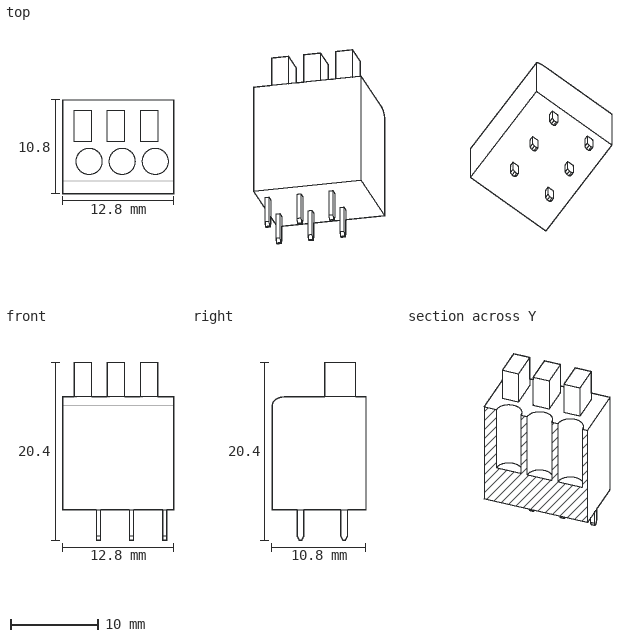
import cadquery as cq

width = 12.78
depth = 10.8
total_height = 20.45
pin_length = 3.5
lever_height = 3.95
housing_top = total_height - lever_height

round_depth = 1.47
round_drop = 1.0

pole_count = 3
pole_pitch = 3.8

lever_width = 2.0
lever_depth = 3.55
lever_center_x = 2.33
lever_back_gap = 1.2

hole_diameter = 3.0
hole_center_x = 3.05
hole_center_y = 3.72
hole_depth = 8.18

pin_thickness = 0.5
pin_width = 0.8
pin_tip_width = 0.3
pin_taper = 0.5
pin_center_x = 4.13
rear_pin_y = depth - 2.54
pin_row_spacing = 5.01
pin_rows_y = [rear_pin_y - pin_row_spacing, rear_pin_y]


def pole_positions(first_x):
    return [first_x + pole * pole_pitch for pole in range(pole_count)]


def make_housing():
    """Side profile with a quarter-ellipse front edge, extruded along X."""
    block = (
        cq.Workplane("YZ")
        .moveTo(0, pin_length)
        .lineTo(depth, pin_length)
        .lineTo(depth, housing_top)
        .lineTo(round_depth, housing_top)
        .lineTo(round_depth, housing_top - round_drop)
        .lineTo(0, housing_top - round_drop)
        .close()
        .extrude(width)
    )
    rounded_edge = (
        cq.Workplane("YZ")
        .center(round_depth, housing_top - round_drop)
        .ellipse(round_depth, round_drop)
        .extrude(width)
    )
    return block.union(rounded_edge)


def make_lever(center_x):
    center_y = depth - lever_back_gap - lever_depth / 2
    return (
        cq.Workplane("XY", origin=(center_x, center_y, housing_top))
        .rect(lever_width, lever_depth)
        .extrude(lever_height)
    )


def make_wire_hole(center_x):
    return (
        cq.Workplane("XY", origin=(center_x, hole_center_y, housing_top))
        .circle(hole_diameter / 2)
        .extrude(-hole_depth)
    )


def make_pin(center_x, center_y):
    """Flat pin, tapered in Y towards its tip."""
    return (
        cq.Workplane("YZ", origin=(center_x - pin_thickness / 2, center_y, 0))
        .polyline([
            (-pin_tip_width / 2, 0),
            (pin_tip_width / 2, 0),
            (pin_width / 2, pin_taper),
            (pin_width / 2, pin_length),
            (-pin_width / 2, pin_length),
            (-pin_width / 2, pin_taper),
        ])
        .close()
        .extrude(pin_thickness)
    )


result = make_housing()
for x in pole_positions(lever_center_x):
    result = result.union(make_lever(x))
for x in pole_positions(hole_center_x):
    result = result.cut(make_wire_hole(x))
for x in pole_positions(pin_center_x):
    for y in pin_rows_y:
        result = result.union(make_pin(x, y))